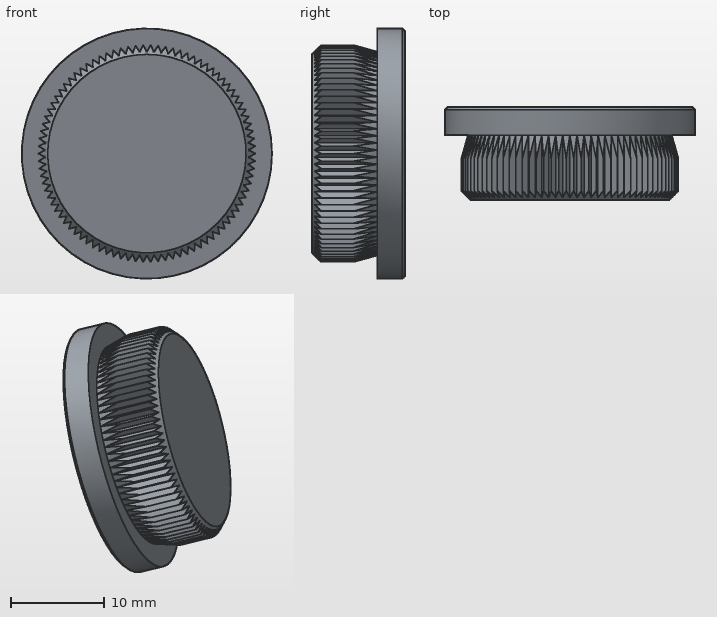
import cadquery as cq
import math

total_length = 10.0
flange_radius = 13.45
flange_thickness = 3.0
flange_chamfer = 0.3

tip_radius = 11.65
root_radius = 10.95
tooth_count = 90
nose_chamfer = 1.0
lead_length = 2.5

spigot_length = total_length - flange_thickness


def make_flange():
    """Disc behind the spigot, chamfered on its outer (+Y) rim."""
    disc = cq.Workplane("XZ").circle(flange_radius).extrude(-flange_thickness)
    return disc.faces(">Y").edges().chamfer(flange_chamfer)


def make_toothed_bar():
    """Straight serrated bar, with a root on +Z and a tip on +X."""
    half_pitch = math.pi / tooth_count
    points = []
    for i in range(2 * tooth_count):
        radius = tip_radius if i % 2 == 0 else root_radius
        angle = i * half_pitch
        points.append((radius * math.cos(angle), radius * math.sin(angle)))
    return cq.Workplane("XZ").polyline(points).close().extrude(spigot_length)


def make_spigot_envelope():
    """Turned shape: cone widening from the flange, cylinder, chamfered nose."""
    return (
        cq.Workplane("YZ")
        .moveTo(0, 0)
        .lineTo(0, root_radius)
        .lineTo(-lead_length, tip_radius)
        .lineTo(-spigot_length + nose_chamfer, tip_radius)
        .lineTo(-spigot_length, tip_radius - nose_chamfer)
        .lineTo(-spigot_length, 0)
        .close()
        .revolve(360, (0, 0, 0), (1, 0, 0))
    )


spigot = make_toothed_bar().intersect(make_spigot_envelope())
result = make_flange().union(spigot)